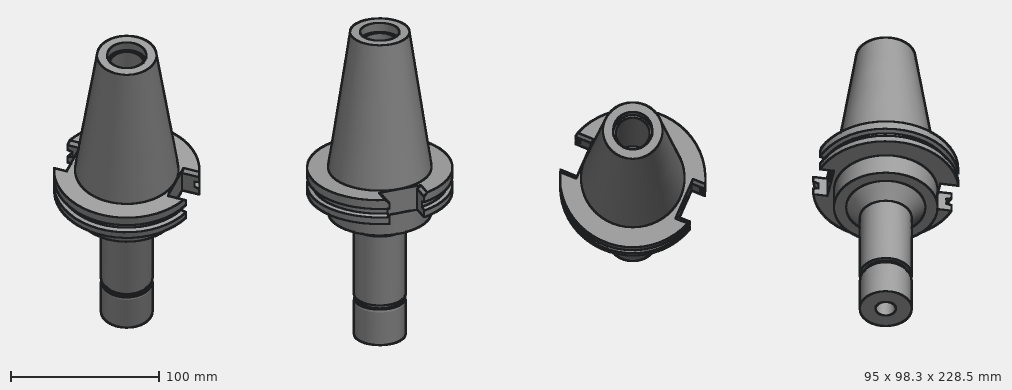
import cadquery as cq

total_height = 228.5
nose_top = 26.7
shank_bottom = 30.2
cone_bottom = 82.3
collar_bottom = 92.1
flange_bottom = 108.0
flange_top = 126.0
taper_bottom = 127.0

taper_top_diameter = 40.2
taper_diameter = 70.0
flange_diameter = 98.3
groove_diameter = 91.5
cone_top_diameter = 53.5
shank_diameter = 35.2
neck_diameter = 30.2

groove_lower_edge = 113.0
groove_upper_edge = 119.3
groove_flank_height = 1.1

slot_width = 25.4
minus_x_floor_distance = 37.7
plus_x_floor_distance = 35.2
slot_chamfer = 2.5

chip_diameter = 9.5
chip_depth = 4.5
chip_height = 116.0

counterbore_diameter = 26.5
counterbore_depth = 6.9
drawbar_bore_diameter = 22.9
drawbar_bore_depth = 68.5
through_bore_diameter = 13.7

nose_chamfer_height = 2.0
nose_chamfer_width = 0.5


def axial_bore(diameter, bottom, top):
    """Cylinder on the Z axis between two heights."""
    return cq.Workplane("XY").workplane(offset=bottom).circle(diameter / 2).extrude(top - bottom)


def revolve_profile(points):
    """Turn a closed (radius, height) outline around the Z axis."""
    return cq.Workplane("XZ").polyline(points).close().revolve(360, (0, 0, 0), (0, 1, 0))


def make_holder_blank():
    flange_radius = flange_diameter / 2
    groove_radius = groove_diameter / 2
    taper_radius = taper_diameter / 2
    shank_radius = shank_diameter / 2
    return revolve_profile([
        (0, 0),
        (shank_radius, 0),
        (shank_radius, nose_top - nose_chamfer_height),
        (shank_radius - nose_chamfer_width, nose_top),
        (neck_diameter / 2, nose_top),
        (neck_diameter / 2, shank_bottom),
        (shank_radius, shank_bottom),
        (shank_radius, cone_bottom),
        (cone_top_diameter / 2, collar_bottom),
        (taper_radius, collar_bottom),
        (taper_radius, flange_bottom),
        (flange_radius, flange_bottom),
        (flange_radius, groove_lower_edge),
        (groove_radius, groove_lower_edge + groove_flank_height),
        (groove_radius, groove_upper_edge - groove_flank_height),
        (flange_radius, groove_upper_edge),
        (flange_radius, flange_top),
        (taper_radius, flange_top),
        (taper_radius, taper_bottom),
        (taper_top_diameter / 2, total_height),
        (0, total_height),
    ])


def make_drive_slot(side, floor_distance):
    """Cutter for one drive slot; side is +1 for +X and -1 for -X."""
    half_width = slot_width / 2
    half_mouth = half_width + slot_chamfer
    outline = [
        (-half_width, flange_bottom),
        (half_width, flange_bottom),
        (half_width, flange_top - slot_chamfer),
        (half_mouth, flange_top),
        (-half_mouth, flange_top),
        (-half_width, flange_top - slot_chamfer),
    ]
    return (
        cq.Workplane("YZ")
        .workplane(offset=side * floor_distance)
        .polyline(outline)
        .close()
        .extrude(side * (flange_diameter / 2 - floor_distance))
    )


def make_data_chip():
    """Flat disc that exactly fills its pocket in the slot floor."""
    return (
        cq.Workplane("YZ")
        .workplane(offset=-minus_x_floor_distance)
        .center(0, chip_height)
        .circle(chip_diameter / 2)
        .extrude(chip_depth)
    )


def make_holder():
    holder = make_holder_blank()
    for side, floor_distance in ((-1, minus_x_floor_distance), (1, plus_x_floor_distance)):
        holder = holder.cut(make_drive_slot(side, floor_distance))
    holder = holder.cut(make_data_chip())
    holder = holder.cut(axial_bore(counterbore_diameter, total_height - counterbore_depth, total_height))
    holder = holder.cut(axial_bore(drawbar_bore_diameter, total_height - drawbar_bore_depth, total_height))
    return holder.cut(axial_bore(through_bore_diameter, 0, total_height))


holder = make_holder()
data_chip = make_data_chip()
result = cq.Compound.makeCompound([holder.val(), data_chip.val()])